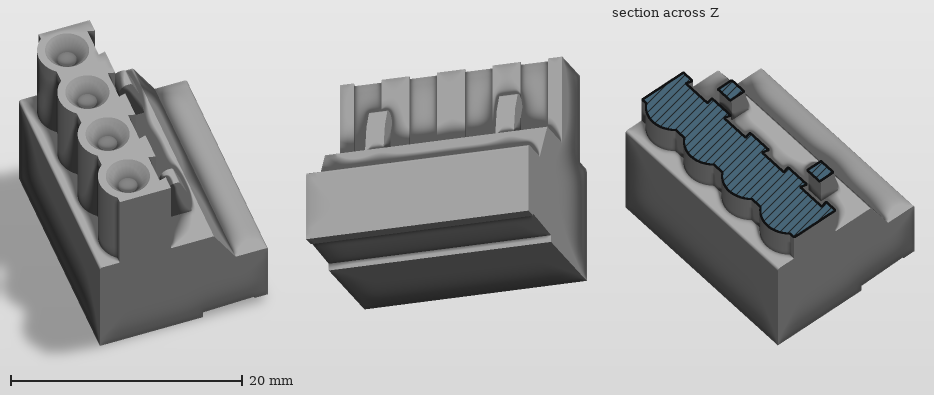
import cadquery as cq
import math

pole_count = 4
length = 20.32
pitch = length / pole_count
depth = 15.5
height = 18.4

shoulder_height = 10.36
ledge_height = 6.83
slope_top_y = 10.5
slope_bottom_y = 12.52
edge_radius = 0.25

relief_front_y = 9.5
relief_height = 0.63
step_y = 14.26
step_height = 0.81

tower_front_y = 1.83
tower_back_y = 6.55
pole_y = 3.52
column_radius = 2.6

recess_top_radius = 1.9
recess_floor_radius = 0.83
recess_depth = 1.22

dovetail_depth = 0.63
dovetail_mouth_width = 2.5
dovetail_floor_width = 2.85

latch_width = 1.69
latch_offset = 5.95
latch_back_y = 9.7
latch_front_y = 7.78
latch_bend_y = 9.27
latch_bend_height = 13.0
latch_neck_height = 12.65
latch_nose_y = 7.35
latch_nose_height = 13.78
latch_top_height = 14.67
latch_top_back_y = 8.55
latch_top_front_y = 8.0
latch_nose_arc_mid = (7.55, 14.37)
latch_back_radius = 0.3

pole_positions = [(i - (pole_count - 1) / 2) * pitch for i in range(pole_count)]


def extrude_along_x(profile, width, center_x=0):
    """Extrude a closed YZ profile symmetrically about center_x."""
    return profile.extrude(width / 2, both=True).translate((center_x, 0, 0))


def make_housing():
    profile = (
        cq.Workplane("YZ")
        .moveTo(0, 0)
        .lineTo(0, shoulder_height)
        .lineTo(slope_top_y, shoulder_height)
        .lineTo(slope_bottom_y, ledge_height)
        .lineTo(depth, ledge_height)
        .lineTo(depth, relief_height)
        .lineTo(step_y, relief_height)
        .lineTo(step_y, step_height)
        .lineTo(relief_front_y, relief_height)
        .lineTo(relief_front_y, 0)
        .close()
    )
    housing = extrude_along_x(profile, length)
    for y, z in [(0, shoulder_height), (depth, ledge_height)]:
        housing = housing.edges(cq.NearestToPointSelector((0, y, z))).fillet(edge_radius)
    return housing


def make_tower():
    column_half_chord = math.sqrt(column_radius**2 - (pole_y - tower_front_y) ** 2)
    outline = (
        cq.Workplane("XY", origin=(0, 0, shoulder_height))
        .moveTo(-length / 2, tower_back_y)
        .lineTo(-length / 2, tower_front_y)
    )
    for x in pole_positions:
        outline = outline.lineTo(x - column_half_chord, tower_front_y)
        outline = outline.threePointArc(
            (x, pole_y - column_radius), (x + column_half_chord, tower_front_y)
        )
    return (
        outline.lineTo(length / 2, tower_front_y)
        .lineTo(length / 2, tower_back_y)
        .close()
        .extrude(height - shoulder_height)
    )


def make_recess(x):
    return (
        cq.Workplane("XY", origin=(x, pole_y, height))
        .circle(recess_top_radius)
        .workplane(offset=-recess_depth)
        .circle(recess_floor_radius)
        .loft(ruled=True)
    )


def make_dovetail_slot(x):
    floor_y = tower_back_y - dovetail_depth
    return (
        cq.Workplane("XY", origin=(x, 0, shoulder_height))
        .moveTo(-dovetail_mouth_width / 2, tower_back_y)
        .lineTo(-dovetail_floor_width / 2, floor_y)
        .lineTo(dovetail_floor_width / 2, floor_y)
        .lineTo(dovetail_mouth_width / 2, tower_back_y)
        .close()
        .extrude(height - shoulder_height)
    )


def make_latch(x):
    profile = (
        cq.Workplane("YZ")
        .moveTo(latch_front_y, shoulder_height)
        .lineTo(latch_front_y, latch_neck_height)
        .lineTo(latch_nose_y, latch_nose_height)
        .threePointArc(latch_nose_arc_mid, (latch_top_front_y, latch_top_height))
        .lineTo(latch_top_back_y, latch_top_height)
        .lineTo(latch_bend_y, latch_bend_height)
        .lineTo(latch_back_y, shoulder_height)
        .close()
    )
    latch = extrude_along_x(profile, latch_width, x)
    top_back_edge = cq.NearestToPointSelector((x, latch_top_back_y, latch_top_height))
    return latch.edges(top_back_edge).fillet(latch_back_radius)


result = make_housing().union(make_tower())
for pole_x in pole_positions:
    result = result.cut(make_recess(pole_x))
    result = result.cut(make_dovetail_slot(pole_x))
for latch_x in (-latch_offset, latch_offset):
    result = result.union(make_latch(latch_x))